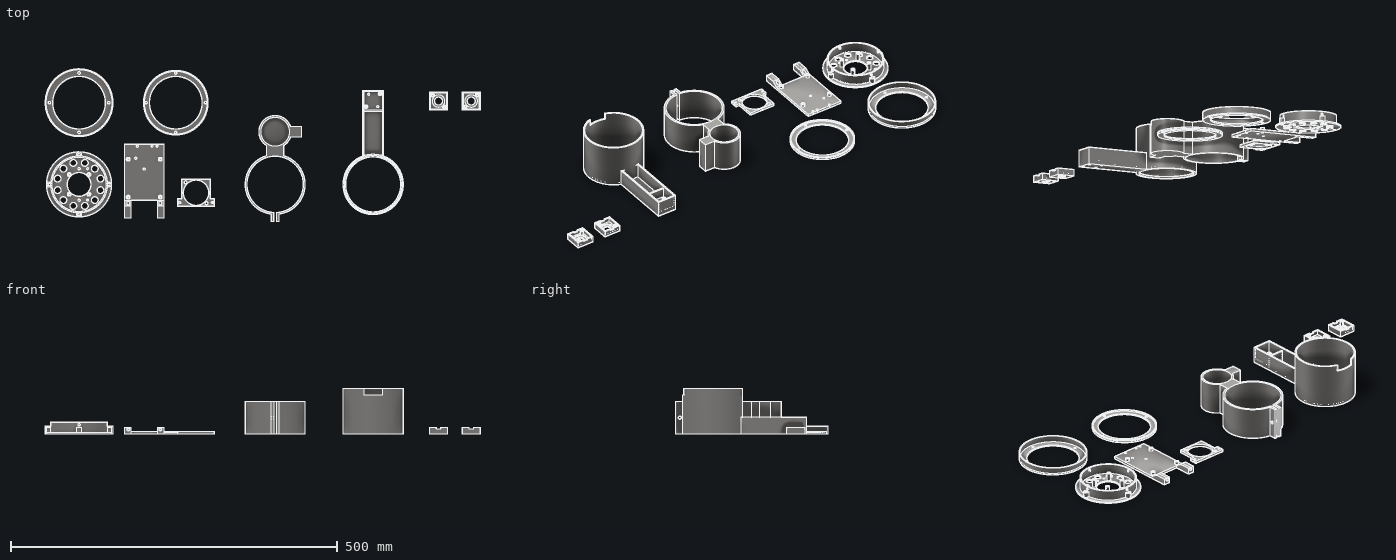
import cadquery as cq
import math


SCREW_CIRCLE_RADIUS = 45.5
SCREW_HOLE_DIAMETER = 3.5
RING_BORE_DIAMETER = 80.2
ROW_PITCH = 125.0


def block(x_min, x_max, y_min, y_max, z_min, z_max):
    """Box given by its limits on the three axes."""
    return (
        cq.Workplane("XY")
        .box(x_max - x_min, y_max - y_min, z_max - z_min, centered=False)
        .translate((x_min, y_min, z_min))
    )


def cylinder(x, y, diameter, z_min, z_max):
    """Upright cylinder about (x, y)."""
    return cq.Workplane("XY", origin=(x, y, z_min)).circle(diameter / 2).extrude(z_max - z_min)


def cylinder_along_x(y, z, diameter, x_min, x_max):
    """Cylinder parallel to X."""
    return cq.Workplane("YZ", origin=(x_min, y, z)).circle(diameter / 2).extrude(x_max - x_min)


def cylinder_along_y(x, z, diameter, y_min, y_max):
    """Cylinder parallel to Y."""
    return cq.Workplane("XZ", origin=(x, y_max, z)).circle(diameter / 2).extrude(y_max - y_min)


def circle_points(radius, count, first_angle=0.0):
    """Points spread evenly round a circle about the origin."""
    angles = [math.radians(first_angle + 360.0 * i / count) for i in range(count)]
    return [(radius * math.cos(a), radius * math.sin(a)) for a in angles]


def square_corners(half_pitch):
    """Corners of a square about the origin."""
    return [(sx * half_pitch, sy * half_pitch) for sx in (-1, 1) for sy in (-1, 1)]


SCREW_POINTS = circle_points(SCREW_CIRCLE_RADIUS, 4)


HUB_FLANGE_DIAMETER = 100.0
HUB_FLANGE_THICKNESS = 2.0
HUB_HEIGHT = 18.0
HUB_DRUM_DIAMETER = 87.0
HUB_DRUM_WALL = 2.0
HUB_BORE_DIAMETER = 36.0
HUB_BOSS_DIAMETER = 8.0
HUB_BOSS_HEIGHT = 10.0
HUB_WALL_HOLE_DIAMETER = 3.2
HUB_WALL_HOLE_Z = 14.0
HUB_OPENING_COUNT = 12
HUB_OPENING_DIAMETER = 10.0
HUB_OPENING_RADIUS = 34.0
HUB_POST_HALF_PITCH = 15.0
HUB_POST_DIAMETER = 6.0
HUB_POST_HOLE_DIAMETER = 2.8
HUB_POST_HEIGHT = 14.0
HUB_FLOOR_HOLE_DIAMETER = 3.2
HUB_FLOOR_HOLE_Y = 24.0
HUB_SIDE_HOLE_DIAMETER = 2.7
HUB_SIDE_HOLE_X = 13.0


def make_hub():
    drum_bore = HUB_DRUM_DIAMETER - 2 * HUB_DRUM_WALL
    hub = cylinder(0, 0, HUB_FLANGE_DIAMETER, 0, HUB_FLANGE_THICKNESS)
    hub = hub.union(cylinder(0, 0, HUB_DRUM_DIAMETER, 0, HUB_HEIGHT))
    for x, y in SCREW_POINTS:
        hub = hub.union(cylinder(x, y, HUB_BOSS_DIAMETER, 0, HUB_BOSS_HEIGHT))
    hub = hub.cut(cylinder(0, 0, drum_bore, HUB_FLANGE_THICKNESS, HUB_HEIGHT))
    for x, y in square_corners(HUB_POST_HALF_PITCH):
        hub = hub.union(cylinder(x, y, HUB_POST_DIAMETER, 0, HUB_POST_HEIGHT))
    hub = hub.cut(cylinder(0, 0, HUB_BORE_DIAMETER, 0, HUB_FLANGE_THICKNESS))
    for x, y in square_corners(HUB_POST_HALF_PITCH):
        hub = hub.cut(cylinder(x, y, HUB_POST_HOLE_DIAMETER, 0, HUB_POST_HEIGHT))
    for x, y in SCREW_POINTS:
        hub = hub.cut(cylinder(x, y, SCREW_HOLE_DIAMETER, 0, HUB_BOSS_HEIGHT))
    for x, y in circle_points(HUB_OPENING_RADIUS, HUB_OPENING_COUNT, 180.0 / HUB_OPENING_COUNT):
        hub = hub.cut(cylinder(x, y, HUB_OPENING_DIAMETER, 0, HUB_FLANGE_THICKNESS))
    for y in (-HUB_FLOOR_HOLE_Y, HUB_FLOOR_HOLE_Y):
        hub = hub.cut(cylinder(0, y, HUB_FLOOR_HOLE_DIAMETER, 0, HUB_FLANGE_THICKNESS))
        hub = hub.cut(cylinder(HUB_SIDE_HOLE_X, y, HUB_SIDE_HOLE_DIAMETER, 0, HUB_FLANGE_THICKNESS))
    reach = HUB_DRUM_DIAMETER / 2
    hub = hub.cut(cylinder_along_x(0, HUB_WALL_HOLE_Z, HUB_WALL_HOLE_DIAMETER, -reach, reach))
    hub = hub.cut(cylinder_along_y(0, HUB_WALL_HOLE_Z, HUB_WALL_HOLE_DIAMETER, -reach, reach))
    return hub


DEEP_RING_CENTER = (0.0, ROW_PITCH)
DEEP_RING_DIAMETER = 104.0
DEEP_RING_HEIGHT = 12.0
DEEP_RING_FLOOR = 2.0
DEEP_RING_RIM_WALL = 1.5
SHALLOW_RING_CENTER = (148.0, ROW_PITCH)
SHALLOW_RING_DIAMETER = 99.0
SHALLOW_RING_HEIGHT = 4.0
SHALLOW_RING_FLOOR = 2.0
SHALLOW_RING_RIM_WALL = 1.5


def make_ring(center, diameter, height, floor, rim_wall):
    ring = cylinder(0, 0, diameter, 0, height)
    ring = ring.cut(cylinder(0, 0, diameter - 2 * rim_wall, floor, height))
    ring = ring.cut(cylinder(0, 0, RING_BORE_DIAMETER, 0, floor))
    for x, y in SCREW_POINTS:
        ring = ring.cut(cylinder(x, y, SCREW_HOLE_DIAMETER, 0, floor))
    return ring.translate((*center, 0))


PLATE_CENTER_X = 99.7
PLATE_WIDTH = 61.0
PLATE_THICKNESS = 4.0
PLATE_TOP_Y = 61.5
PLATE_BOTTOM_Y = -24.5
LEG_END_Y = -51.5
LEG_WIDTH = 10.5
LEG_HEIGHT = 10.0
LEG_SLOPE_TOP_Y = -33.0
LEG_HOLE_DIAMETER = 4.2
LEG_HOLE_Z = 7.0
BOARD_HOLE_DIAMETER = 2.7
STANDOFF_DIAMETER = 6.0
STANDOFF_TOP_Z = 8.0
BOARD_HOLE_PITCH_X = 49.0
BOARD_HOLE_PITCH_Y = 58.0
BOARD_HOLE_TOP_Y = 38.5
EXTRA_HOLE_DIAMETER = 2.8
EXTRA_HOLES = [(-10.5, 58.5), (12.0, 58.5), (19.5, 58.5), (-13.0, 40.0), (0.0, 23.5)]


def make_plate():
    half_width = PLATE_WIDTH / 2
    plate = block(-half_width, half_width, PLATE_BOTTOM_Y, PLATE_TOP_Y, 0, PLATE_THICKNESS)
    leg_profile = [
        (PLATE_BOTTOM_Y, 0),
        (LEG_END_Y, 0),
        (LEG_END_Y, LEG_HEIGHT),
        (LEG_SLOPE_TOP_Y, LEG_HEIGHT),
        (PLATE_BOTTOM_Y, PLATE_THICKNESS),
    ]
    for leg_x in (-half_width, half_width - LEG_WIDTH):
        leg = cq.Workplane("YZ", origin=(leg_x, 0, 0)).polyline(leg_profile).close().extrude(LEG_WIDTH)
        plate = plate.union(leg)
    for x in (-BOARD_HOLE_PITCH_X / 2, BOARD_HOLE_PITCH_X / 2):
        for y in (BOARD_HOLE_TOP_Y, BOARD_HOLE_TOP_Y - BOARD_HOLE_PITCH_Y):
            plate = plate.union(cylinder(x, y, STANDOFF_DIAMETER, 0, STANDOFF_TOP_Z))
            plate = plate.cut(cylinder(x, y, BOARD_HOLE_DIAMETER, 0, STANDOFF_TOP_Z))
        plate = plate.cut(cylinder_along_y(x, LEG_HOLE_Z, LEG_HOLE_DIAMETER, LEG_END_Y, PLATE_BOTTOM_Y))
    for x, y in EXTRA_HOLES:
        plate = plate.cut(cylinder(x, y, EXTRA_HOLE_DIAMETER, 0, PLATE_THICKNESS))
    return plate.translate((PLATE_CENTER_X, 0, 0))


FRAME_CENTER = (179.0, -12.8)
FRAME_WIDTH = 44.0
FRAME_DEPTH = 42.0
FRAME_THICKNESS = 4.0
FRAME_BORE_DIAMETER = 38.5
FRAME_HOLE_HALF_PITCH = 16.0
FRAME_HOLE_DIAMETER = 4.1
EAR_SPAN = 56.0
EAR_DEPTH = 12.0
EAR_HOLE_DIAMETER = 2.8


def make_frame():
    half_depth = FRAME_DEPTH / 2
    frame = block(-FRAME_WIDTH / 2, FRAME_WIDTH / 2, -half_depth, half_depth, 0, FRAME_THICKNESS)
    ear_top = EAR_DEPTH - half_depth
    frame = frame.union(block(-EAR_SPAN / 2, EAR_SPAN / 2, -half_depth, ear_top, 0, FRAME_THICKNESS))
    frame = frame.cut(cylinder(0, 0, FRAME_BORE_DIAMETER, 0, FRAME_THICKNESS))
    for side in (-1, 1):
        place = side * FRAME_HOLE_HALF_PITCH
        frame = frame.cut(cylinder(place, -place, FRAME_HOLE_DIAMETER, 0, FRAME_THICKNESS))
        ear_y = EAR_DEPTH / 2 - half_depth
        ear_x = side * (FRAME_WIDTH / 2 + EAR_SPAN / 2) / 2
        frame = frame.cut(cylinder(ear_x, ear_y, EAR_HOLE_DIAMETER, 0, FRAME_THICKNESS))
    return frame.translate((*FRAME_CENTER, 0))


CLAMP_CENTER_X = 300.0
CLAMP_HEIGHT = 50.0
CLAMP_BORE_DIAMETER = 86.0
CLAMP_WALL = 3.0
TAB_GAP = 4.0
TAB_THICKNESS = 4.0
TAB_END_Y = -56.85
TAB_HOLE_DIAMETER = 4.2
TAB_HOLE_Y = -50.0
CUP_Y = 80.5
CUP_DIAMETER = 50.0
CUP_BORE_DIAMETER = 44.0
CUP_FLOOR = 3.0
NECK_WIDTH = 27.0
LUG_END_X = 40.5
LUG_WIDTH = 16.5


def make_clamp():
    outer = CLAMP_BORE_DIAMETER + 2 * CLAMP_WALL
    tab_outer_x = TAB_GAP / 2 + TAB_THICKNESS
    clamp = cylinder(0, 0, outer, 0, CLAMP_HEIGHT)
    clamp = clamp.union(cylinder(0, CUP_Y, CUP_DIAMETER, 0, CLAMP_HEIGHT))
    clamp = clamp.union(block(-NECK_WIDTH / 2, NECK_WIDTH / 2, 0, CUP_Y, 0, CLAMP_HEIGHT))
    clamp = clamp.union(
        block(0, LUG_END_X, CUP_Y - LUG_WIDTH / 2, CUP_Y + LUG_WIDTH / 2, 0, CLAMP_HEIGHT)
    )
    clamp = clamp.union(block(-tab_outer_x, tab_outer_x, TAB_END_Y, 0, 0, CLAMP_HEIGHT))
    clamp = clamp.cut(cylinder(0, 0, CLAMP_BORE_DIAMETER, 0, CLAMP_HEIGHT))
    clamp = clamp.cut(cylinder(0, CUP_Y, CUP_BORE_DIAMETER, CUP_FLOOR, CLAMP_HEIGHT))
    clamp = clamp.cut(block(-TAB_GAP / 2, TAB_GAP / 2, TAB_END_Y, 0, 0, CLAMP_HEIGHT))
    clamp = clamp.cut(
        cylinder_along_x(TAB_HOLE_Y, CLAMP_HEIGHT / 2, TAB_HOLE_DIAMETER, -tab_outer_x, tab_outer_x)
    )
    return clamp.translate((CLAMP_CENTER_X, 0, 0))


HOLDER_CENTER_X = 450.0
HOLDER_HEIGHT = 70.0
HOLDER_BORE_DIAMETER = 88.5
HOLDER_WALL = 2.0
HOLDER_LIP_BORE_DIAMETER = 84.0
HOLDER_LIP_HEIGHT = 3.0
NOTCH_WIDTH = 28.0
NOTCH_DEPTH = 10.0
ARM_WIDTH = 32.0
ARM_HEIGHT = 26.0
ARM_END_Y = 144.0
ARM_WALL = 2.0
ARM_FLOOR = 3.0
CELL_FLOOR = 6.5
PARTITION_Y = 111.5
PARTITION_THICKNESS = 2.0
PARTITION_TOP_Z = 22.0
POCKET_START_Y = 45.0
ARM_HOLE_DIAMETER = 2.8
ARM_HOLES = [(-7.0, 138.0), (7.0, 119.0)]
ARM_POSTS = [(10.5, 138.5), (-11.0, 119.0)]
ARM_POST_DIAMETER = 5.5
ARM_POST_HOLE_DIAMETER = 2.8
ARM_POST_HEIGHT = 2.0


def make_holder():
    outer = HOLDER_BORE_DIAMETER + 2 * HOLDER_WALL
    inner_x = ARM_WIDTH / 2 - ARM_WALL
    inner_end_y = ARM_END_Y - ARM_WALL
    arm = block(-ARM_WIDTH / 2, ARM_WIDTH / 2, 0, ARM_END_Y, 0, ARM_HEIGHT)
    arm = arm.cut(block(-inner_x, inner_x, POCKET_START_Y, inner_end_y, ARM_FLOOR, ARM_HEIGHT))
    partition_end = PARTITION_Y + PARTITION_THICKNESS
    arm = arm.union(block(-inner_x, inner_x, PARTITION_Y, partition_end, 0, PARTITION_TOP_Z))
    arm = arm.union(block(-inner_x, inner_x, partition_end, inner_end_y, 0, CELL_FLOOR))
    for x, y in ARM_HOLES:
        arm = arm.cut(cylinder(x, y, ARM_HOLE_DIAMETER, 0, CELL_FLOOR))
    post_top_z = CELL_FLOOR + ARM_POST_HEIGHT
    for x, y in ARM_POSTS:
        arm = arm.union(cylinder(x, y, ARM_POST_DIAMETER, 0, post_top_z))
        arm = arm.cut(cylinder(x, y, ARM_POST_HOLE_DIAMETER, 0, post_top_z))
    holder = cylinder(0, 0, outer, 0, HOLDER_HEIGHT).union(arm)
    holder = holder.cut(cylinder(0, 0, HOLDER_LIP_BORE_DIAMETER, 0, HOLDER_LIP_HEIGHT))
    holder = holder.cut(cylinder(0, 0, HOLDER_BORE_DIAMETER, HOLDER_LIP_HEIGHT, HOLDER_HEIGHT))
    notch_bottom = HOLDER_HEIGHT - NOTCH_DEPTH
    holder = holder.cut(
        block(-NOTCH_WIDTH / 2, NOTCH_WIDTH / 2, -outer / 2, 0, notch_bottom, HOLDER_HEIGHT)
    )
    return holder.translate((HOLDER_CENTER_X, 0, 0))


SOCKETS = [(550.0, -1), (600.0, 1)]
SOCKET_Y = 127.5
SOCKET_SIZE = 28.0
SOCKET_HEIGHT = 10.0
SOCKET_WALL = 2.0
SOCKET_FLOOR = 3.0
SOCKET_RECESS_DIAMETER = 19.0
SOCKET_RECESS_Z = 1.5
SOCKET_HOLE_DIAMETER = 12.0
SOCKET_NOTCH_WIDTH = 6.5
SOCKET_NOTCH_DEPTH = 2.0
SOCKET_POST_HALF_PITCH = 9.0
SOCKET_POST_DIAMETER = 5.5
SOCKET_POST_HOLE_DIAMETER = 2.8


def make_socket(center_x, diagonal):
    half = SOCKET_SIZE / 2
    inner = half - SOCKET_WALL
    half_notch = SOCKET_NOTCH_WIDTH / 2
    notch_z = SOCKET_HEIGHT - SOCKET_NOTCH_DEPTH
    socket = block(-half, half, -half, half, 0, SOCKET_HEIGHT)
    socket = socket.cut(block(-inner, inner, -inner, inner, SOCKET_FLOOR, SOCKET_HEIGHT))
    socket = socket.cut(cylinder(0, 0, SOCKET_RECESS_DIAMETER, SOCKET_RECESS_Z, SOCKET_FLOOR))
    socket = socket.cut(cylinder(0, 0, SOCKET_HOLE_DIAMETER, 0, SOCKET_FLOOR))
    socket = socket.cut(block(-half_notch, half_notch, -half, half, notch_z, SOCKET_HEIGHT))
    for side in (-1, 1):
        x = side * SOCKET_POST_HALF_PITCH
        y = side * diagonal * SOCKET_POST_HALF_PITCH
        socket = socket.union(cylinder(x, y, SOCKET_POST_DIAMETER, 0, SOCKET_HEIGHT))
        socket = socket.cut(cylinder(x, y, SOCKET_POST_HOLE_DIAMETER, 0, SOCKET_HEIGHT))
    return socket.translate((center_x, SOCKET_Y, 0))


hub = make_hub()
deep_ring = make_ring(
    DEEP_RING_CENTER, DEEP_RING_DIAMETER, DEEP_RING_HEIGHT, DEEP_RING_FLOOR, DEEP_RING_RIM_WALL
)
shallow_ring = make_ring(
    SHALLOW_RING_CENTER,
    SHALLOW_RING_DIAMETER,
    SHALLOW_RING_HEIGHT,
    SHALLOW_RING_FLOOR,
    SHALLOW_RING_RIM_WALL,
)
plate = make_plate()
frame = make_frame()
clamp = make_clamp()
holder = make_holder()
sockets = [make_socket(x, diagonal) for x, diagonal in SOCKETS]

result = cq.Compound.makeCompound(
    [
        hub.val(),
        deep_ring.val(),
        shallow_ring.val(),
        plate.val(),
        frame.val(),
        clamp.val(),
        holder.val(),
        *[socket.val() for socket in sockets],
    ]
)